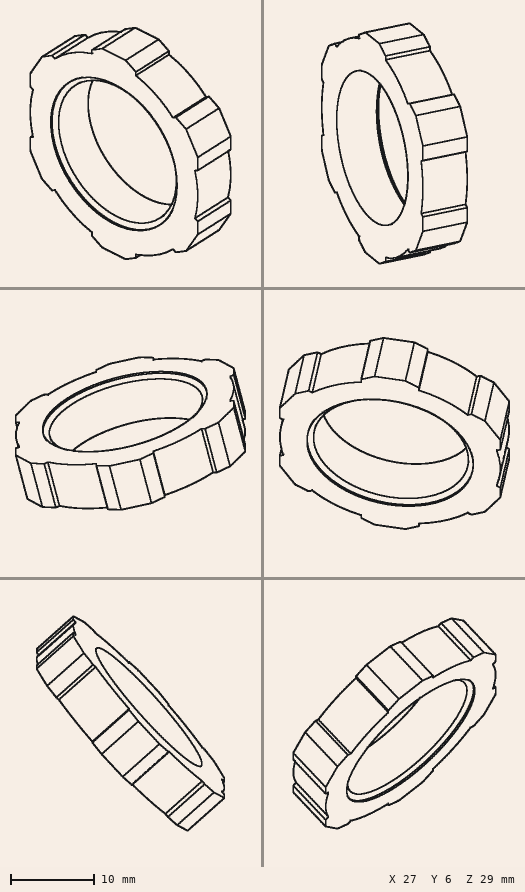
import cadquery as cq

ACROSS_LUGS = 29.0
ACROSS_FLATS = 27.0
THICKNESS = 6.0
BODY_DIAMETER = 27.0
LUG_WIDTH = 7.08
LUG_COUNT = 6

BORE_DIAMETER = 18.97
MOUTH_DIAMETER = 20.35
LIP_DEPTH = 0.23
CONE_DEPTH = 0.4


def disc(diameter):
    """Cylinder along Y, centred on the origin."""
    return cq.Workplane("XZ").circle(diameter / 2).extrude(THICKNESS / 2, both=True)


def turned_copies(block):
    """Block and its copies turned by one lug spacing each, over half a turn."""
    return [
        block.rotate((0, 0, 0), (0, 1, 0), index * 360 / LUG_COUNT)
        for index in range(LUG_COUNT // 2)
    ]


def hexagon():
    """Hexagonal prism along Y, with corners pointing up and down."""
    prism = disc(2 * ACROSS_FLATS)
    slab = cq.Workplane("XY").box(ACROSS_FLATS, THICKNESS, 2 * ACROSS_FLATS)
    for turned_slab in turned_copies(slab):
        prism = prism.intersect(turned_slab)
    return prism


def lug_bars():
    """Three crossing bars whose flat ends truncate the hexagon corners."""
    bars = disc(BORE_DIAMETER)
    bar = cq.Workplane("XY").box(LUG_WIDTH, THICKNESS, ACROSS_LUGS)
    for turned_bar in turned_copies(bar):
        bars = bars.union(turned_bar)
    return bars


def flared_bore():
    """Through bore cutter with a short cylindrical lip and a cone at the -Y face."""
    bore_radius = BORE_DIAMETER / 2
    mouth_radius = MOUTH_DIAMETER / 2
    front = -THICKNESS / 2
    back = THICKNESS / 2
    return (
        cq.Workplane("XY")
        .moveTo(0, front)
        .lineTo(mouth_radius, front)
        .lineTo(mouth_radius, front + LIP_DEPTH)
        .lineTo(bore_radius, front + LIP_DEPTH + CONE_DEPTH)
        .lineTo(bore_radius, back)
        .lineTo(0, back)
        .close()
        .revolve(360, (0, 0, 0), (0, 1, 0))
    )


lugs = hexagon().intersect(lug_bars())
result = disc(BODY_DIAMETER).union(lugs).cut(flared_bore())